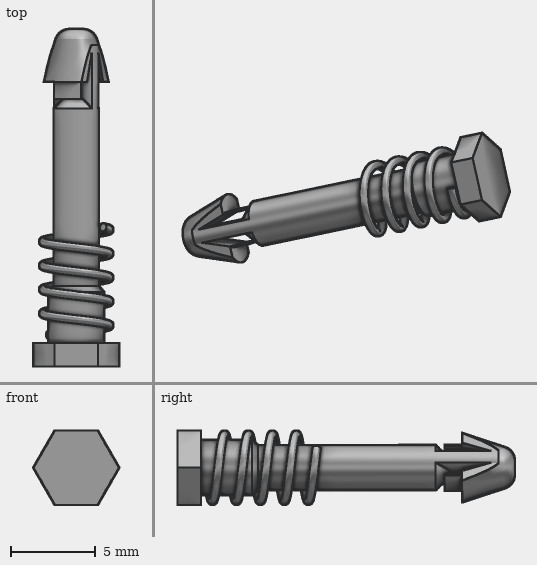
import cadquery as cq
import math


head_across_flats = 4.4
head_length = 1.4

collar_radius = 1.65
collar_length = 3.0
collar_taper_length = 0.35
stem_radius = 1.35
collar_end = head_length + collar_length
stem_start = collar_end + collar_taper_length
stem_end = 15.2

tip_end = 19.89
barb_base = 16.76
barb_radius = 2.06
nose_taper = 0.329
nose_round = 0.88
barb_half_width = 1.28

web_half_thickness = 0.4
gap_apex = 18.445
tip_roll = 30

tab_half_width = 0.92
tab_thickness = 0.1
tab_outer_height = 1.055
tab_inner_height = tab_outer_height - tab_thickness
tab_start = 15.74

wire_radius = 0.25
coil_radius = 1.95
coil_pitch = 1.41
coil_turns = 4.5
coil_start = head_length + 0.46
coil_start_angle = 216

reach = 3.0


def revolve_about_y(profile):
    """Spin a closed XY profile a full turn around the Y axis."""
    return profile.close().revolve(360, (0, 0, 0), (0, 1, 0))


def make_head():
    across_corners = head_across_flats / math.cos(math.radians(30))
    return cq.Workplane("XZ").polygon(6, across_corners).extrude(-head_length)


def make_shank():
    """Collar and stem, the stem ending in a 45 degree point inside the tip."""
    profile = (
        cq.Workplane("XY")
        .lineTo(collar_radius, 0)
        .lineTo(collar_radius, collar_end)
        .lineTo(stem_radius, stem_start)
        .lineTo(stem_radius, stem_end)
        .lineTo(0, stem_end + stem_radius)
    )
    return revolve_about_y(profile)


def make_barbed_nose():
    """Cone with a rounded end, its skirt trimmed to two barbs above and below the stem."""
    profile = (
        cq.Workplane("XY")
        .moveTo(0, barb_base)
        .lineTo(barb_radius, barb_base)
        .lineTo(barb_radius - nose_taper * (tip_end - barb_base), tip_end)
        .lineTo(0, tip_end)
    )
    cone = revolve_about_y(profile).faces(">Y").edges().fillet(nose_round)

    trim_length = (barb_radius - stem_radius) / nose_taper
    stem_core = cq.Workplane("XZ").circle(stem_radius).extrude(-trim_length)
    barb_slab = cq.Workplane("XZ").rect(2 * barb_half_width, 2 * reach).extrude(-trim_length)
    trim = cq.Workplane("XZ").rect(2 * reach, 2 * reach).extrude(-trim_length)
    trim = trim.cut(barb_slab).cut(stem_core)
    return cone.cut(trim.translate((0, barb_base, 0)))


def make_web():
    """Flat-sided strip with rounded edges that carries the nose on the stem."""
    web_length = barb_base - stem_end
    stem_core = cq.Workplane("XZ").circle(stem_radius).extrude(-web_length)
    plate = cq.Workplane("XZ").rect(2 * reach, 2 * web_half_thickness).extrude(-web_length)
    return stem_core.intersect(plate).translate((0, stem_end, 0))


def make_gap():
    """Wedge of space that separates the upper barb from the middle of the nose."""
    return (
        cq.Workplane("YZ")
        .moveTo(gap_apex, web_half_thickness)
        .lineTo(barb_base, tab_inner_height)
        .lineTo(barb_base, web_half_thickness)
        .close()
        .extrude(reach, both=True)
    )


def make_tab():
    """Flat tab running from the flared base of the upper barb back toward the stem."""
    tab_length = barb_base - tab_start
    tab = cq.Workplane("XY").box(
        2 * tab_half_width, tab_length, tab_thickness, centered=(True, False, False)
    )
    return tab.translate((0, tab_start, tab_inner_height))


def make_pin():
    tip = make_barbed_nose()
    for side in (0, 180):
        tip = tip.cut(make_gap().rotate((0, 0, 0), (0, 1, 0), side))
        tip = tip.union(make_tab().rotate((0, 0, 0), (0, 1, 0), side))
    pin = make_shank().union(make_web()).union(tip)
    pin = pin.rotate((0, 0, 0), (0, -1, 0), tip_roll)
    return pin.union(make_head())


def make_spring():
    """Left-hand coil, wound along Z from +X and then laid along Y."""
    helix = cq.Wire.makeHelix(coil_pitch, coil_pitch * coil_turns, coil_radius, lefthand=True)
    rise_per_radian = coil_pitch / (2 * math.pi)
    start_plane = cq.Plane(
        origin=(coil_radius, 0, 0), xDir=(1, 0, 0), normal=(0, -coil_radius, rise_per_radian)
    )
    coil = cq.Workplane(start_plane).circle(wire_radius).sweep(cq.Workplane(helix), isFrenet=True)
    coil = coil.rotate((0, 0, 0), (1, 0, 0), -90)
    coil = coil.rotate((0, 0, 0), (0, -1, 0), coil_start_angle)
    return coil.translate((0, coil_start, 0))


pin = make_pin()
spring = make_spring()
result = cq.Compound.makeCompound([pin.val(), spring.val()])